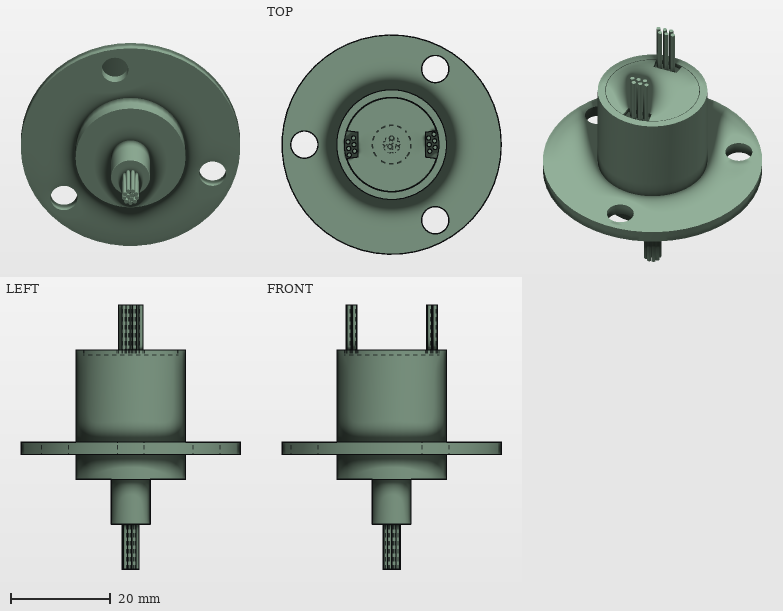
import cadquery as cq
import math

wire_length = 9.0
total_height = 53.0
tube_bottom = wire_length
body_bottom = 2 * wire_length
body_top = total_height - wire_length
flange_bottom = 23.0
flange_thickness = 2.5

flange_radius = 22.0
body_radius = flange_radius / 2
tube_radius = 3.9
tube_chamfer = 0.1
bolt_circle_radius = 17.5
bolt_hole_radius = 2.7
bolt_hole_count = 3

bore_radius = 9.5
core_radius = 9.4
pocket_depth = 1.0
pocket_floor = body_top - pocket_depth
pocket_inner_x = 6.8
pocket_inner_half_width = 2.5
pocket_flare = 8.0

wire_radius = 0.4
upper_pitch = 1.3
upper_inner_x = 7.5
upper_row_count = 3
upper_tilt = 5.0
lower_outer_count = 9
lower_outer_radius = 1.3
lower_inner_count = 3
lower_inner_radius = 0.5


def cylinder(radius, bottom, top):
    return cq.Workplane("XY").workplane(offset=bottom).circle(radius).extrude(top - bottom)


def ring_points(count, radius, start_angle):
    """Points evenly spaced on a circle about the Z axis."""
    angles = [math.radians(start_angle + 360 * i / count) for i in range(count)]
    return [(radius * math.cos(a), radius * math.sin(a)) for a in angles]


def wires(points, bottom, top):
    """One straight wire standing at each point."""
    base = cq.Workplane("XY").workplane(offset=bottom)
    return base.pushPoints(points).circle(wire_radius).extrude(top - bottom)


def make_housing():
    """Flanged body with its lower tube and the bolt holes."""
    tube = cylinder(tube_radius, tube_bottom, body_bottom).faces("<Z").chamfer(tube_chamfer)
    body = cylinder(body_radius, body_bottom, body_top)
    flange = cylinder(flange_radius, flange_bottom, flange_bottom + flange_thickness)
    holes = (
        cq.Workplane("XY")
        .workplane(offset=flange_bottom)
        .pushPoints(ring_points(bolt_hole_count, bolt_circle_radius, 180))
        .circle(bolt_hole_radius)
        .extrude(flange_thickness)
    )
    return body.union(tube).union(flange.cut(holes))


def make_core_recess():
    """Ring gap around the core, joined with the two flared pockets."""
    bore = cylinder(bore_radius, pocket_floor, body_top)
    gap = bore.cut(cylinder(core_radius, pocket_floor, body_top))
    flare_width = (bore_radius - pocket_inner_x) * math.tan(math.radians(pocket_flare))
    outer_half_width = pocket_inner_half_width + flare_width
    pocket = (
        cq.Workplane("XY")
        .workplane(offset=pocket_floor)
        .polyline([
            (pocket_inner_x, -pocket_inner_half_width),
            (bore_radius, -outer_half_width),
            (bore_radius, outer_half_width),
            (pocket_inner_x, pocket_inner_half_width),
        ])
        .close()
        .extrude(pocket_depth)
        .intersect(bore)
    )
    return gap.union(pocket).union(half_turn(pocket))


def half_turn(shape):
    return shape.rotate((0, 0, 0), (0, 0, 1), 180)


def make_upper_bundle():
    """Two tilted rows of wires in the +X pocket, staggered by half a pitch."""
    tilt = math.radians(upper_tilt)
    row_spacing = upper_pitch * math.sin(math.radians(60))
    points = []
    for row in range(2):
        across = row * row_spacing
        for i in range(upper_row_count):
            along = (i - 1 + row / 2) * upper_pitch
            x = upper_inner_x + across * math.cos(tilt) - along * math.sin(tilt)
            y = across * math.sin(tilt) + along * math.cos(tilt)
            points.append((x, y))
    return wires(points, pocket_floor, total_height)


def make_lower_bundle():
    """Ring of wires around three inner ones that sit opposite the ring's gaps."""
    outer_start = 90
    inner_start = outer_start + 180 / lower_outer_count
    outer = ring_points(lower_outer_count, lower_outer_radius, outer_start)
    inner = ring_points(lower_inner_count, lower_inner_radius, inner_start)
    return wires(outer + inner, 0, tube_bottom)


upper_bundle = make_upper_bundle()
result = (
    make_housing()
    .cut(make_core_recess())
    .union(upper_bundle)
    .union(half_turn(upper_bundle))
    .union(make_lower_bundle())
)